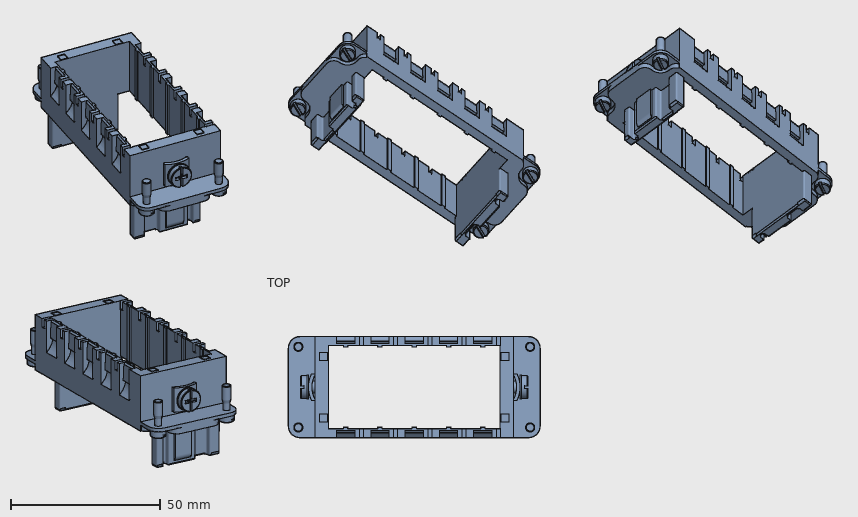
import cadquery as cq
import math

frame_half_length = 33.3
frame_half_width = 17.0
frame_height = 19.9
opening_half_length = 28.7
side_wall = 3.0
opening_half_width = frame_half_width - side_wall

module_count = 5
module_pitch = 11.5
window_width = 6.2
slot_width = 1.35
slot_depth = 3.1
slot_offset = 5.2
rib_width = 1.5
rib_height = 0.5
module_places = [(i - (module_count - 1) / 2) * module_pitch for i in range(module_count)]

window_floor_depth = 1.0
window_scoop_depth = 2.45
window_lip_depth = 1.5
window_wall_depth = 1.8
window_bevel_depth = 2.4
window_sill_z = 8.6
window_floor_z = 9.7
window_scoop_top_z = 13.5
window_lip_z = 14.0
window_bevel_z = 19.35

label_size = 2.6
label_depth = 0.25
label_x = 30.4
label_y = 10.3

flange_half_length = 42.25
flange_bottom = 2.1
flange_top = 3.4
flange_corner_radius = 4.0
flange_screw_x = 38.9
flange_screw_y = 13.5
head_pocket_radius = 8.0 / 2
pocket_blend_radius = 3.0

screw_head_radius = 5.3 / 2
screw_head_bottom = -0.6
screw_head_chamfer = 0.3
screw_neck_radius = 1.2
screw_neck_top = 5.8
screw_thread_radius = 1.5
screw_thread_bottom = 7.1
screw_tip_z = 12.2
screw_tip_chamfer = 0.25
screw_slot_width = 0.9
screw_slot_depth = 1.0
screw_slot_angle = 24

terminal_z = 8.95
clamp_half_width = 4.5
clamp_height = 8.7
clamp_thickness = 1.2
clamp_bow = 1.0
clamp_foot = 0.4
terminal_neck_radius = 4.0 / 2
terminal_collar_radius = 8.0 / 2
terminal_collar_thickness = 0.5
terminal_head_radius = 3.9
terminal_head_thickness = 2.1
terminal_head_chamfer = 0.25
cross_slot_width = 0.85
cross_slot_depth = 1.2
short_slot_width = 1.2
short_slot_length = 4.4
cross_hole_radius = 0.7
cross_hole_depth = 1.7

leg_outer_x = 32.5
leg_y_min = -14.9
leg_y_max = 9.9
leg_bottom = -15.0
leg_edge_radius = 0.55
leg_column_y_min = -11.6
leg_column_y_max = 7.9
leg_centre_half_width = 4.65
leg_groove_depth = 2.4
column_tip_height = 1.1
centre_tip_height = 0.55
tip_chamfer_width = 0.5
end_tip_width = 0.25
tab_half_width = 3.2
tab_full_bottom = -12.0
tab_bottom = -13.7


def box_between(x_min, x_max, y_min, y_max, z_min, z_max):
    """Axis-aligned box given by its limits."""
    size = (x_max - x_min, y_max - y_min, z_max - z_min)
    return cq.Workplane("XY").box(*size, centered=False).translate((x_min, y_min, z_min))


def on_both_ends(shape):
    """The shape on the -X end together with its mirror image on the +X end."""
    return shape.union(shape.mirror("YZ"))


def on_both_sides(shape):
    """The shape on the -Y side together with its mirror image on the +Y side."""
    return shape.union(shape.mirror("XZ"))


def end_tangent_radius(depth, height):
    """Radius of an arc that spans depth by height and runs along the height at one end."""
    return (depth**2 + height**2) / (2 * depth)


def make_frame():
    outer = box_between(-frame_half_length, frame_half_length,
                        -frame_half_width, frame_half_width, 0, frame_height)
    opening = box_between(-opening_half_length, opening_half_length,
                          -opening_half_width, opening_half_width, 0, frame_height)
    return outer.cut(opening)


def window_cutter(x):
    """Latch window in the -Y wall: sloped sill, scoop undercutting a lip, leaning back wall."""
    face = -frame_half_width
    scoop_depth = window_scoop_depth - window_floor_depth
    scoop_radius = end_tangent_radius(scoop_depth, window_scoop_top_z - window_floor_z)
    section = (
        cq.Workplane("YZ", origin=(x - window_width / 2, 0, 0))
        .moveTo(face, window_sill_z)
        .lineTo(face + window_floor_depth, window_floor_z)
        .radiusArc((face + window_scoop_depth, window_scoop_top_z), -scoop_radius)
        .lineTo(face + window_lip_depth, window_scoop_top_z)
        .lineTo(face + window_lip_depth, window_lip_z)
        .lineTo(face + window_wall_depth, window_bevel_z)
        .lineTo(face + window_bevel_depth, frame_height)
        .lineTo(face, frame_height)
        .close()
    )
    return section.extrude(window_width)


def slot_cutter(x):
    """Open-topped slot through the -Y wall."""
    return box_between(x - slot_width / 2, x + slot_width / 2,
                       -frame_half_width, -opening_half_width, frame_height - slot_depth, frame_height)


def inner_rib(x):
    return box_between(x - rib_width / 2, x + rib_width / 2,
                       -opening_half_width, -opening_half_width + rib_height, 0, frame_height)


def label_recess():
    return (
        cq.Workplane("XY", origin=(0, 0, frame_height - label_depth))
        .rect(2 * label_x, 2 * label_y, forConstruction=True)
        .vertices()
        .rect(label_size, label_size)
        .extrude(label_depth)
    )


def make_flange_plate():
    plate = box_between(-flange_half_length, flange_half_length,
                        -frame_half_width, frame_half_width, flange_bottom, flange_top)
    opening = box_between(-frame_half_length, frame_half_length,
                          -frame_half_width, frame_half_width, flange_bottom, flange_top)
    return plate.edges("|Z").fillet(flange_corner_radius).cut(opening)


def make_flange_block():
    """Thick part of the -X flange, scooped round both screw heads and blended into its edges."""
    reach = head_pocket_radius + pocket_blend_radius
    share = head_pocket_radius / reach
    end_x = -flange_half_length + pocket_blend_radius
    end_y = flange_screw_y - math.sqrt(reach**2 - (end_x + flange_screw_x) ** 2)
    side_y = frame_half_width - pocket_blend_radius
    side_x = -flange_screw_x + math.sqrt(reach**2 - (side_y - flange_screw_y) ** 2)

    def tangent_point(x, y):
        return (-flange_screw_x + share * (x + flange_screw_x), flange_screw_y + share * (y - flange_screw_y))

    half = (
        cq.Workplane("XY")
        .moveTo(-opening_half_length, 0)
        .lineTo(-flange_half_length, 0)
        .lineTo(-flange_half_length, end_y)
        .radiusArc(tangent_point(end_x, end_y), pocket_blend_radius)
        .radiusArc(tangent_point(side_x, side_y), -head_pocket_radius)
        .radiusArc((side_x, frame_half_width), pocket_blend_radius)
        .lineTo(-opening_half_length, frame_half_width)
        .close()
        .extrude(flange_bottom)
    )
    inside_frame = box_between(-frame_half_length, 0, -frame_half_width, frame_half_width, 0, flange_bottom)
    return on_both_sides(half).cut(inside_frame)


def make_flange_screw(x, y):
    profile = (
        cq.Workplane("XZ")
        .moveTo(0, screw_head_bottom)
        .lineTo(screw_head_radius - screw_head_chamfer, screw_head_bottom)
        .lineTo(screw_head_radius, screw_head_bottom + screw_head_chamfer)
        .lineTo(screw_head_radius, flange_bottom)
        .lineTo(screw_neck_radius, flange_bottom)
        .lineTo(screw_neck_radius, screw_neck_top)
        .lineTo(screw_thread_radius, screw_thread_bottom)
        .lineTo(screw_thread_radius, screw_tip_z - screw_tip_chamfer)
        .lineTo(screw_thread_radius - screw_tip_chamfer, screw_tip_z)
        .lineTo(0, screw_tip_z)
        .close()
    )
    screw = profile.revolve(360, (0, 0, 0), (0, 1, 0))
    slot = box_between(-screw_head_radius, screw_head_radius, -screw_slot_width / 2, screw_slot_width / 2,
                       screw_head_bottom, screw_head_bottom + screw_slot_depth)
    slot = slot.rotate((0, 0, 0), (0, 0, 1), screw_slot_angle)
    return screw.cut(slot).translate((x, y, 0))


def make_clamp_plate():
    """Plate on the -X end wall, bowed outward and standing on two narrow feet."""
    wall = -frame_half_length
    foot_y = clamp_half_width - clamp_foot
    edge_x = wall - clamp_thickness
    plate = (
        cq.Workplane("XY", origin=(0, 0, terminal_z - clamp_height / 2))
        .moveTo(wall, -clamp_half_width)
        .lineTo(edge_x, -clamp_half_width)
        .threePointArc((edge_x - clamp_bow, 0), (edge_x, clamp_half_width))
        .lineTo(wall, clamp_half_width)
        .lineTo(wall, foot_y)
        .threePointArc((wall - clamp_bow, 0), (wall, -foot_y))
        .close()
    )
    return plate.extrude(clamp_height)


def make_terminal_screw():
    """Screw through the clamp plate, lying along X with its head toward -X."""
    collar_x = frame_half_length + clamp_thickness + clamp_bow
    head_x = collar_x + terminal_collar_thickness
    face_x = head_x + terminal_head_thickness

    def disc(radius, start, length):
        return cq.Workplane("YZ", origin=(-start, 0, terminal_z)).circle(radius).extrude(-length)

    neck = disc(terminal_neck_radius, frame_half_length, collar_x - frame_half_length)
    collar = disc(terminal_collar_radius, collar_x, terminal_collar_thickness)
    head = disc(terminal_head_radius, head_x, terminal_head_thickness)
    head = head.faces("<X").edges().chamfer(terminal_head_chamfer)

    slots = cq.Workplane("YZ", origin=(-face_x, 0, terminal_z))
    long_slot = slots.rect(cross_slot_width, 2 * terminal_head_radius).extrude(cross_slot_depth)
    short_slot = slots.rect(short_slot_length, short_slot_width).extrude(cross_slot_depth)
    centre_hole = slots.circle(cross_hole_radius).extrude(cross_hole_depth)
    return neck.union(collar).union(head).cut(long_slot).cut(short_slot).cut(centre_hole)


def leg_groove(y_min, y_max):
    """Groove in the outer face of a leg, rounded at its mouth and floor, with a bevelled lower end."""
    r = leg_edge_radius
    face, floor = -leg_outer_x, -leg_outer_x + leg_groove_depth
    groove = (
        cq.Workplane("XY", origin=(0, 0, leg_bottom))
        .moveTo(face, y_min)
        .radiusArc((face + r, y_min + r), r)
        .lineTo(floor - r, y_min + r)
        .radiusArc((floor, y_min + 2 * r), -r)
        .lineTo(floor, y_max - 2 * r)
        .radiusArc((floor - r, y_max - r), -r)
        .lineTo(face + r, y_max - r)
        .radiusArc((face, y_max), r)
        .close()
        .extrude(-leg_bottom)
    )
    bevel = (
        cq.Workplane("XZ", origin=(0, y_max - 2 * r, 0))
        .moveTo(floor, leg_bottom)
        .lineTo(floor, leg_bottom + centre_tip_height)
        .lineTo(floor + tip_chamfer_width, leg_bottom)
        .close()
        .extrude(y_max - y_min - 4 * r)
    )
    return groove.union(bevel)


def leg_stretch(y_min, y_max, tip_height):
    """Part of a leg between two Y limits, with its two long bottom edges bevelled."""
    stretch = box_between(-leg_outer_x, -opening_half_length, y_min, y_max, leg_bottom, 0)
    return stretch.faces("<Z").edges("|Y").chamfer(tip_height, tip_chamfer_width)


def make_leg():
    """Leg below the -X end wall: two side columns, a centre column and a tab with a rounded tip."""
    block = box_between(-leg_outer_x, -opening_half_length, leg_y_min, leg_y_max, leg_bottom, 0)
    rounded = block.edges("|Z").fillet(leg_edge_radius)
    end_bevelled = block.faces("<Z").edges("|X").chamfer(centre_tip_height, end_tip_width)
    leg = leg_stretch(leg_column_y_min, leg_column_y_max, centre_tip_height)
    leg = leg.union(leg_stretch(leg_y_min, leg_column_y_min, column_tip_height))
    leg = leg.union(leg_stretch(leg_column_y_max, leg_y_max, column_tip_height))
    leg = leg.intersect(rounded).intersect(end_bevelled)
    leg = leg.cut(leg_groove(leg_column_y_min, -leg_centre_half_width))
    leg = leg.cut(leg_groove(leg_centre_half_width, leg_column_y_max))

    tab_tip_radius = end_tangent_radius(frame_half_length - leg_outer_x, tab_full_bottom - tab_bottom)
    tab = (
        cq.Workplane("XZ", origin=(0, tab_half_width, 0))
        .moveTo(-leg_outer_x, 0)
        .lineTo(-frame_half_length, 0)
        .lineTo(-frame_half_length, tab_full_bottom)
        .radiusArc((-leg_outer_x, tab_bottom), -tab_tip_radius)
        .close()
        .extrude(2 * tab_half_width)
    )
    return leg.union(tab)


result = make_frame()
for place in module_places:
    result = result.cut(on_both_sides(window_cutter(place)))
    result = result.cut(on_both_sides(slot_cutter(place + slot_offset)))
    result = result.union(on_both_sides(inner_rib(place)))
result = result.cut(label_recess())

result = result.union(make_flange_plate())
for end_part in (make_flange_block(), make_leg(), make_clamp_plate(), make_terminal_screw()):
    result = result.union(on_both_ends(end_part))

for screw_x in (-flange_screw_x, flange_screw_x):
    for screw_y in (-flange_screw_y, flange_screw_y):
        result = result.union(make_flange_screw(screw_x, screw_y))